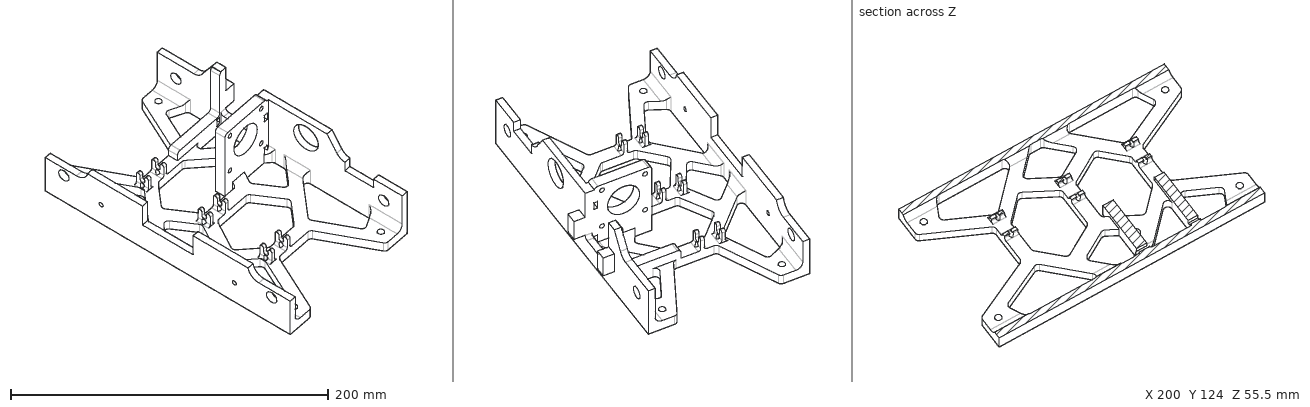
import cadquery as cq
import math

length = 200.0
depth = 116.0
mid_y = depth / 2
half_length = length / 2
floor_height = 7.5
wall_thickness = 5.0
wall_fillet = 5.0
front_inner_y = wall_thickness
back_inner_y = depth - wall_thickness
half_gap = mid_y - wall_thickness

rib_width = 10.0
rib_spacing = 50.5
side_rib_outer = rib_spacing + rib_width / 2
side_rib_inner = rib_spacing - rib_width / 2
rib_half = rib_width / 2
corner_fillet = 3.0
foot_end_y = 37.2
arm_angle = math.radians(26)
arm_width = 9.0
brace_inner = 57.8
brace_outer = 71.0
link_slope = math.tan(math.radians(30))
link_inner = 12.2
link_outer = 23.8
foot_window_x = 74.8
floor_hole_x = 90.8
floor_hole_y = 43.0
floor_hole_diameter = 4.5

wall_top = 37.5
wall_step = 30.0
back_top = 53.5
beam_height = 14.8
step_x = 65.5
step_radius = 9.0
notch_half = 20.5
notch_bottom = 20.5
slope_run = 8.0
slope_drop = 12.0
slope_fillet_run = 6.5
right_slope_x = 38.5
back_notch_left = 53.2
back_notch_right = 76.5
beam_fillet = 2.5
wall_hole_x = 84.8
wall_hole_z = 23.5
wall_hole_diameter = 8.5
pin_hole_x = 54.5
pin_hole_z = 17.0
pin_hole_diameter = 3.2
shaft_x = 21.5
shaft_z = 39.0
shaft_diameter = 20.0

bracket_left = -side_rib_outer
bracket_thickness = 7.5
bracket_right = bracket_left + bracket_thickness
motor_left = -17.2
motor_thickness = 8.0
plate_front_y = 68.0
plate_back_y = 109.5
plate_top = 55.5
plate_corner_radius = 2.5
motor_y = 88.5
motor_z = 35.5
motor_bore = 23.0
screw_spacing = 31.0
screw_diameter = 3.5
leg_front_y = 109.8
slot_width = 2.8
slot_spans = [(floor_height, 13.5), (36.8, 42.5)]
tab_end_y = 124.0
tab_bottom = 17.5
tab_top = 32.8

clip_y_positions = [37.5, 52.5]
clip_thickness = 2.5
clip_top = 17.5
clip_foot_fillet = 1.8
clip_slot_width = 3.5
clip_slot_bottom = 11.2
clip_bore = 3.2
prong_radius = (rib_width - clip_slot_width) / 4
nearly_full_round = 0.99


def box(x0, x1, y0, y1, z0, z1):
    return cq.Workplane("XY").box(x1 - x0, y1 - y0, z1 - z0, centered=False).translate((x0, y0, z0))


def wall_cylinder(x, z, diameter, y0, y1):
    """Cylinder along Y from y0 to y1."""
    return cq.Workplane("XZ", origin=(x, y0, z)).circle(diameter / 2).extrude(y0 - y1)


def lattice_prism(points, height):
    """Upright prism whose outline is given from the middle of the floor."""
    return cq.Workplane("XY", origin=(0, mid_y, 0)).polyline(points).close().extrude(height)


def both_ends(solid):
    return [solid, solid.mirror("XZ", (0, mid_y, 0))]


def both_sides(solid):
    return [solid, solid.mirror("YZ")]


def arm_outer_y(x):
    return foot_end_y - (half_length + x) * math.tan(arm_angle)


def floor_plate():
    waist_y = arm_outer_y(-side_rib_outer)
    quarter = [(side_rib_outer, waist_y), (half_length, foot_end_y), (half_length, mid_y)]
    right = [(x, -y) for x, y in reversed(quarter)] + quarter
    left = [(-x, -y) for x, y in right]
    plate = lattice_prism(right + left, floor_height)
    corners = plate.edges("|Z").edges("not(<Y or >Y)")
    return corners.fillet(corner_fillet)


def foot_window():
    """Unrounded window at the back left, between foot, arm, brace and wall."""
    slope = math.tan(arm_angle)
    edge_at_zero = arm_outer_y(0) + arm_width / math.cos(arm_angle)
    apex_x = (edge_at_zero - brace_outer) / (1 + slope)
    corner_x = (edge_at_zero - half_gap - foot_window_x / slope) / (slope + 1 / slope)
    points = [
        (-foot_window_x, half_gap),
        (corner_x, edge_at_zero - slope * corner_x),
        (apex_x, apex_x + brace_outer),
        (half_gap - brace_outer, half_gap),
    ]
    return lattice_prism(points, floor_height + wall_fillet)


def hexagon_window():
    """Window between the left rib and the middle rib."""
    peak_x = (link_inner - brace_inner) / (1 + link_slope)
    upper = [
        (-side_rib_inner, brace_inner - side_rib_inner),
        (peak_x, peak_x + brace_inner),
        (-rib_half, link_inner + link_slope * rib_half),
    ]
    lower = [(x, -y) for x, y in reversed(upper)]
    return lattice_prism(upper + lower, floor_height).edges("|Z").fillet(corner_fillet)


def diamond_window():
    """Window at the back, between the two links, the two braces and the wall."""
    tip_x = (brace_inner - link_outer) / (1 + link_slope)
    tip_y = brace_inner - tip_x
    wall_x = brace_inner - half_gap
    points = [(0, link_outer), (tip_x, tip_y), (wall_x, half_gap), (-wall_x, half_gap), (-tip_x, tip_y)]
    return lattice_prism(points, floor_height + wall_fillet).edges("|Z").fillet(corner_fillet)


def split_foot_window():
    """Back left window in two parts, leaving the strip below the left bracket."""
    tall = 2 * (floor_height + wall_fillet)
    strip = box(bracket_left, bracket_right, 0, depth, 0, tall)
    split = foot_window().cut(strip)
    rounded = split.edges("|Z").filter(
        lambda edge: edge.Center().y < back_inner_y - 0.2 or edge.Center().x < bracket_left - 0.2
    )
    return rounded.fillet(corner_fillet)


def floor_windows():
    plain_foot_window = foot_window().edges("|Z").fillet(corner_fillet)
    windows = [split_foot_window(), plain_foot_window.mirror("YZ")]
    windows += both_sides(plain_foot_window.mirror("XZ", (0, mid_y, 0)))
    windows += both_sides(hexagon_window())
    windows += both_ends(diamond_window())
    return windows


def wall_fillet_strip():
    """Concave fillet between the floor and the front wall."""
    return (
        cq.Workplane("YZ", origin=(-half_length, 0, 0))
        .moveTo(front_inner_y, floor_height)
        .lineTo(front_inner_y + wall_fillet, floor_height)
        .radiusArc((front_inner_y, floor_height + wall_fillet), wall_fillet)
        .close()
        .extrude(length)
    )


def front_wall():
    step_run = math.sqrt(step_radius**2 - (step_radius - wall_top + wall_step) ** 2)
    return (
        cq.Workplane("XZ")
        .moveTo(-half_length, 0)
        .lineTo(half_length, 0)
        .lineTo(half_length, wall_step)
        .lineTo(step_x + step_run, wall_step)
        .radiusArc((step_x, wall_top), step_radius)
        .lineTo(notch_half, wall_top)
        .lineTo(notch_half, notch_bottom)
        .lineTo(-notch_half, notch_bottom)
        .lineTo(-notch_half, wall_top)
        .lineTo(-step_x, wall_top)
        .radiusArc((-step_x - step_run, wall_step), step_radius)
        .lineTo(-half_length, wall_step)
        .close()
        .extrude(-wall_thickness)
    )


def back_wall():
    slope_end_z = back_top - slope_drop
    left_slope_end = bracket_left - slope_run
    right_slope_end = right_slope_x + slope_run
    return (
        cq.Workplane("XZ", origin=(0, back_inner_y, 0))
        .moveTo(-half_length, 0)
        .lineTo(-half_length, wall_top)
        .lineTo(left_slope_end - slope_fillet_run, wall_top)
        .tangentArcPoint((left_slope_end, slope_end_z), relative=False)
        .lineTo(bracket_left, back_top)
        .lineTo(bracket_right, back_top)
        .lineTo(bracket_right, beam_height + beam_fillet)
        .radiusArc((bracket_right + beam_fillet, beam_height), -beam_fillet)
        .lineTo(motor_left - beam_fillet, beam_height)
        .radiusArc((motor_left, beam_height + beam_fillet), -beam_fillet)
        .lineTo(motor_left, back_top)
        .lineTo(right_slope_x, back_top)
        .lineTo(right_slope_end, slope_end_z)
        .tangentArcPoint((right_slope_end + slope_fillet_run, wall_top), relative=False)
        .lineTo(back_notch_left, wall_step)
        .lineTo(back_notch_right, wall_step)
        .lineTo(back_notch_right, wall_top)
        .lineTo(half_length, wall_top)
        .lineTo(half_length, 0)
        .close()
        .extrude(-wall_thickness)
    )


def mounting_tab(x0, x1):
    """Tab that stands out behind the back wall."""
    return box(x0, x1, back_inner_y, tab_end_y, tab_bottom, tab_top)


def plate_slot(x0, x1, span):
    """Narrow opening through a plate, just in front of the back wall."""
    slot_bottom, slot_top = span
    return box(x0, x1, leg_front_y - slot_width, leg_front_y, slot_bottom, slot_top)


def motor_plate():
    """Motor face with its backing in the wall, tab, slots, bore and screw holes."""
    motor_right = motor_left + motor_thickness
    plate = box(motor_left, motor_right, plate_front_y, plate_back_y, 0, plate_top)
    plate = plate.edges("|X and >Z").fillet(plate_corner_radius)
    plate = plate.union(box(motor_left, motor_right, motor_y, depth, 0, back_top))
    plate = plate.union(mounting_tab(motor_left, motor_right))
    for span in slot_spans:
        plate = plate.cut(plate_slot(motor_left, motor_right, span))
    face = cq.Workplane("YZ", origin=(motor_left, motor_y, motor_z))
    bore = face.circle(motor_bore / 2).extrude(motor_thickness)
    screws = face.rect(screw_spacing, screw_spacing, forConstruction=True).vertices()
    return plate.cut(bore).cut(screws.circle(screw_diameter / 2).extrude(motor_thickness))


def left_bracket():
    """L-shaped plate that leaves space for the motor body."""
    outline = (
        cq.Workplane("YZ", origin=(bracket_left, 0, 0))
        .moveTo(plate_front_y, 0)
        .lineTo(plate_front_y, beam_height)
        .lineTo(leg_front_y, beam_height)
        .lineTo(leg_front_y, back_top)
        .lineTo(depth, back_top)
        .lineTo(depth, 0)
        .close()
        .extrude(bracket_thickness)
    )
    rounded = outline.edges("|X").edges("not(<Z or >Y)").fillet(plate_corner_radius)
    bracket = rounded.union(mounting_tab(bracket_left, bracket_right))
    return bracket.cut(plate_slot(bracket_left, bracket_right, slot_spans[0]))


def wire_clip():
    """Two round-tipped prongs above a wire bore, on a flared foot."""
    half = clip_thickness / 2
    toe = half + clip_foot_fillet
    foot_top = floor_height + clip_foot_fillet
    body = (
        cq.Workplane("YZ", origin=(-rib_half, 0, 0))
        .moveTo(-toe, floor_height)
        .radiusArc((-half, foot_top), -clip_foot_fillet)
        .lineTo(-half, clip_top)
        .lineTo(half, clip_top)
        .lineTo(half, foot_top)
        .radiusArc((toe, floor_height), -clip_foot_fillet)
        .close()
        .extrude(rib_width)
    )
    slot_radius = clip_slot_width / 2
    slot = box(-slot_radius, slot_radius, -toe, toe, clip_slot_bottom, clip_top)
    slot = slot.edges("|Y and <Z").fillet(nearly_full_round * slot_radius)
    bore = wall_cylinder(0, floor_height + clip_bore / 2, clip_bore, -toe, toe)
    clip = body.cut(slot).edges("|Y and >Z").fillet(nearly_full_round * prong_radius)
    return clip.cut(bore)


result = floor_plate()
for strip in both_ends(wall_fillet_strip()):
    result = result.union(strip)
for window in floor_windows():
    result = result.cut(window)

result = result.union(front_wall()).union(back_wall())
result = result.union(motor_plate()).union(left_bracket())

clip = wire_clip()
for rib_x in (-rib_spacing, 0, rib_spacing):
    for clip_y in clip_y_positions:
        result = result.union(clip.translate((rib_x, clip_y, 0)))

for side in (-1, 1):
    result = result.cut(wall_cylinder(side * wall_hole_x, wall_hole_z, wall_hole_diameter, 0, depth))
    result = result.cut(wall_cylinder(side * pin_hole_x, pin_hole_z, pin_hole_diameter, 0, wall_thickness))
result = result.cut(wall_cylinder(shaft_x, shaft_z, shaft_diameter, back_inner_y, depth))

floor_holes = (
    cq.Workplane("XY", origin=(0, mid_y, 0))
    .rect(2 * floor_hole_x, 2 * floor_hole_y, forConstruction=True)
    .vertices()
    .circle(floor_hole_diameter / 2)
    .extrude(floor_height)
)
result = result.cut(floor_holes)